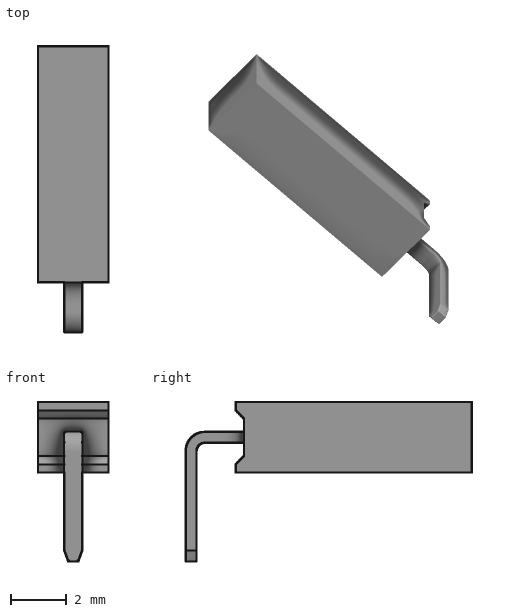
import cadquery as cq

housing_side = 2.54
housing_length = 8.5

channel_lip = 0.3
channel_depth = 0.3

pin_width = 0.65
pin_thickness = 0.4
pin_reach = 1.8
overall_height = 5.74
bend_inner_radius = 0.3
bend_outer_radius = bend_inner_radius + pin_thickness
tip_length = 0.4
tip_width = 0.36
pin_edge_radius = 0.05

housing_top = housing_side / 2
pin_top = pin_thickness / 2
pin_bottom = -pin_thickness / 2
pin_front = -pin_reach
pin_back = pin_front + pin_thickness
pin_end = housing_top - overall_height
tip_start = pin_end + tip_length
bend_center_y = pin_front + bend_outer_radius
bend_center_z = pin_top - bend_outer_radius


def make_housing():
    """Square bar whose pin end has a channel with 45-degree flanks."""
    mouth = housing_top - channel_lip
    floor = mouth - channel_depth
    profile = (
        cq.Workplane("YZ")
        .moveTo(housing_length, -housing_top)
        .lineTo(housing_length, housing_top)
        .lineTo(0, housing_top)
        .lineTo(0, mouth)
        .lineTo(channel_depth, floor)
        .lineTo(channel_depth, -floor)
        .lineTo(0, -mouth)
        .lineTo(0, -housing_top)
        .close()
    )
    return profile.extrude(housing_top, both=True)


def make_bent_strip():
    """Pin as a constant-width strip bent through a right angle."""
    profile = (
        cq.Workplane("YZ")
        .moveTo(channel_depth, pin_top)
        .lineTo(bend_center_y, pin_top)
        .radiusArc((pin_front, bend_center_z), -bend_outer_radius)
        .lineTo(pin_front, pin_end)
        .lineTo(pin_back, pin_end)
        .lineTo(pin_back, bend_center_z)
        .radiusArc((bend_center_y, pin_bottom), bend_inner_radius)
        .lineTo(channel_depth, pin_bottom)
        .close()
    )
    return profile.extrude(pin_width / 2, both=True)


def make_tip_cutter(side):
    """Wedge that tapers one side (-1 or +1) of the pin tip."""
    return (
        cq.Workplane("XZ", origin=(0, pin_back, 0))
        .moveTo(side * pin_width / 2, tip_start)
        .lineTo(side * pin_width / 2, pin_end)
        .lineTo(side * tip_width / 2, pin_end)
        .close()
        .extrude(pin_thickness)
    )


def make_pin():
    """Bent strip with a tapered tip and rounded edges."""
    pin = make_bent_strip()
    for side in (-1, 1):
        pin = pin.cut(make_tip_cutter(side))
    leg_edges = "#Y and (not |X) and (not >Y)"
    end_edges = "|X and <Z"
    return pin.edges(f"({leg_edges}) or ({end_edges})").fillet(pin_edge_radius)


result = make_housing().union(make_pin())